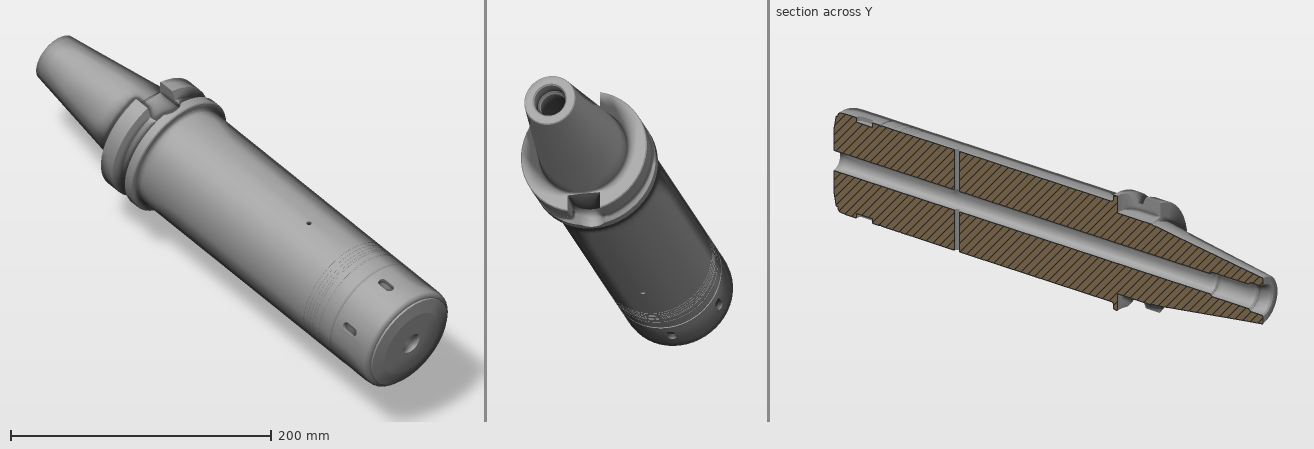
import cadquery as cq
import math


total_length = 402.0
flange_diameter = 100.0
body_diameter = 88.0

taper_length = 102.0
taper_small_diameter = 40.5
taper_large_diameter = 70.0
taper_end_chamfer = 1.0
relief_diameter = 68.7
relief_fillet = 2.5

flange_start = 105.0
flange_end = 140.2
flange_chamfer = 1.0
groove_floor_diameter = 84.8
groove_start = 118.5
groove_end = 132.5
groove_floor_start = 121.7
groove_floor_end = 127.8
body_fillet = 2.0

ring_diameter = 87.5
rings = [(327.5, 1.0), (331.0, 1.0), (334.3, 1.0), (337.0, 1.2), (339.0, 1.2), (344.5, 2.0)]

seam_start = 356.5
nut_start = 358.5
seam_depth = 1.0

nose_bevel_start = 389.7
nose_shoulder_start = 395.0
nose_shoulder_diameter = 87.0
nose_shoulder_end = 398.0
collar_diameter = 78.8
collar_end = 399.8
end_face_diameter = 56.3

pilot_mouth_diameter = 27.5
pilot_diameter = 25.0
pilot_depth = 12.0
lead_in_diameter = 24.0
thread_diameter = 21.0
thread_end = 48.2
through_diameter = 17.3
drill_point_angle = 118.0

cross_hole_diameter = 4.0
cross_hole_x = 286.5

keyway_width = 25.7
keyway_floor_height = 35.5
keyway_end = 136.2

spanner_slot_count = 6
spanner_slot_length = 14.5
spanner_slot_width = 7.0
spanner_slot_depth = 4.0
spanner_slot_x = 373.3

axis_start = (0, 0, 0)
axis_end = (1, 0, 0)


def revolve_about_axis(outline):
    return outline.close().revolve(360, axis_start, axis_end)


def turned_blank():
    taper_small_radius = taper_small_diameter / 2
    relief_radius = relief_diameter / 2
    flange_radius = flange_diameter / 2
    groove_floor_radius = groove_floor_diameter / 2
    body_radius = body_diameter / 2
    collar_radius = collar_diameter / 2
    outline = (
        cq.Workplane("XY")
        .lineTo(0, taper_small_radius - taper_end_chamfer)
        .lineTo(taper_end_chamfer, taper_small_radius)
        .lineTo(taper_length, taper_large_diameter / 2)
        .lineTo(taper_length, relief_radius)
        .lineTo(flange_start - relief_fillet, relief_radius)
        .tangentArcPoint((flange_start, relief_radius + relief_fillet), relative=False)
        .lineTo(flange_start, flange_radius - flange_chamfer)
        .lineTo(flange_start + flange_chamfer, flange_radius)
        .lineTo(groove_start, flange_radius)
        .lineTo(groove_floor_start, groove_floor_radius)
        .lineTo(groove_floor_end, groove_floor_radius)
        .lineTo(groove_end, flange_radius)
        .lineTo(flange_end - flange_chamfer, flange_radius)
        .lineTo(flange_end, flange_radius - flange_chamfer)
        .lineTo(flange_end, body_radius + body_fillet)
        .tangentArcPoint((flange_end + body_fillet, body_radius), relative=False)
        .lineTo(seam_start, body_radius)
        .lineTo(nut_start, body_radius - seam_depth)
        .lineTo(nut_start, body_radius)
        .lineTo(nose_bevel_start, body_radius)
        .lineTo(nose_shoulder_start, nose_shoulder_diameter / 2)
        .tangentArcPoint((nose_shoulder_end, collar_radius), relative=False)
        .lineTo(collar_end, collar_radius)
        .lineTo(total_length, end_face_diameter / 2)
        .lineTo(total_length, 0)
    )
    return revolve_about_axis(outline)


def ring_groove(start, width):
    outer = cq.Workplane("YZ").workplane(offset=start).circle(flange_diameter / 2)
    return outer.circle(ring_diameter / 2).extrude(width)


def stepped_bore():
    pilot_radius = pilot_diameter / 2
    mouth_chamfer = (pilot_mouth_diameter - pilot_diameter) / 2
    lead_in_radius = lead_in_diameter / 2
    thread_radius = thread_diameter / 2
    through_radius = through_diameter / 2
    drill_point_run = (thread_radius - through_radius) / math.tan(math.radians(drill_point_angle / 2))
    outline = (
        cq.Workplane("XY")
        .lineTo(0, pilot_mouth_diameter / 2)
        .lineTo(mouth_chamfer, pilot_radius)
        .lineTo(pilot_depth, pilot_radius)
        .lineTo(pilot_depth, lead_in_radius)
        .lineTo(pilot_depth + lead_in_radius - thread_radius, thread_radius)
        .lineTo(thread_end, thread_radius)
        .lineTo(thread_end + drill_point_run, through_radius)
        .lineTo(total_length, through_radius)
        .lineTo(total_length, 0)
    )
    return revolve_about_axis(outline)


def cross_hole():
    circle = cq.Workplane("XY").center(cross_hole_x, 0).circle(cross_hole_diameter / 2)
    return circle.extrude(body_diameter, both=True)


def keyway():
    center_x = keyway_end / 2
    slot = cq.Workplane("XY").workplane(offset=keyway_floor_height).center(center_x, 0)
    return slot.slot2D(keyway_end, keyway_width).extrude(flange_diameter / 2)


def spanner_slot():
    floor_height = body_diameter / 2 - spanner_slot_depth
    slot = cq.Workplane("XY").workplane(offset=floor_height).center(spanner_slot_x, 0)
    return slot.slot2D(spanner_slot_length, spanner_slot_width).extrude(2 * spanner_slot_depth)


def cut_around_axis(part, cutter, count):
    for index in range(count):
        part = part.cut(cutter.rotate(axis_start, axis_end, index * 360 / count))
    return part


result = turned_blank()
for ring_start, ring_width in rings:
    result = result.cut(ring_groove(ring_start, ring_width))
result = result.cut(stepped_bore())
result = result.cut(cross_hole())
result = cut_around_axis(result, keyway(), 2)
result = cut_around_axis(result, spanner_slot(), spanner_slot_count)